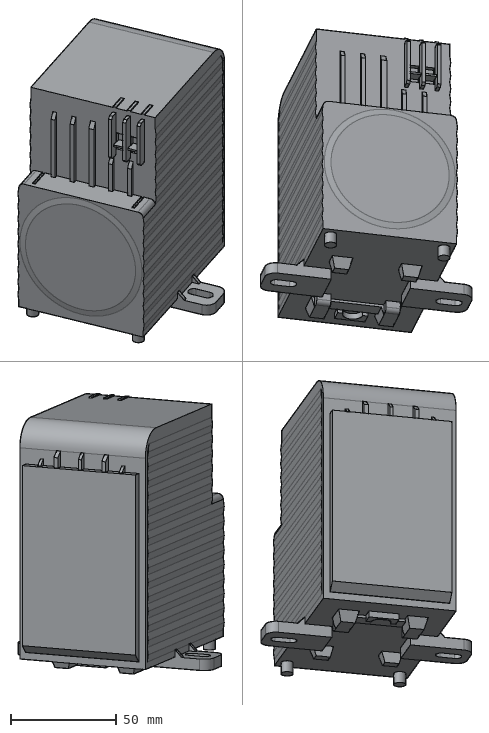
import cadquery as cq
import math

HOUSING_WIDTH = 65.1
HOUSING_BACK = 91.3
HOUSING_BOTTOM = 5.5
HOUSING_TOP = 120.1
STEP_DEPTH = 13.5
STEP_TOP = 74.4
STEP_EDGE_RADIUS = 2.8
BACK_RADIUS = 12.5
MARK_HEIGHT = 0.5

RIDGE_COUNT = 15
RIDGE_PITCH = 7.0
RIDGE_BOTTOM = 8.8
RIDGE_HEIGHT = 0.5
RIDGE_BACK_MARGIN = 2.3
STEP_RIDGES = 9

COVER_RADIUS = 32.0
COVER_TOP_RADIUS = 28.8
COVER_HEIGHT = 0.5
COVER_CENTRE_Z = 41.7

RIB_SPACING = 10.0
RIB_WIDTH = 2.0
MIDDLE_RIB_WIDTH = 2.7
RIB_DEPTH = 1.9
RIB_SLOPE = 3.3
LONG_RIB_TOP = 109.6
SHORT_RIB_TOP = 92.7

FIN_CENTRE_X = 18.7
FIN_SPACING = 7.5
FIN_WIDTH = 1.7
FIN_DEPTH = 5.0
FIN_BOTTOM = 94.2
FIN_TOP = 117.6
FIN_CHAMFER = 1.2
MARK_LENGTH = 9.4
OPENING_WIDTH = 5.3
OPENING_BOTTOM = 97.6
OPENING_TOP = 106.4
OPENING_DEPTH = 2.4
LEDGE_BOTTOM = 100.3
LEDGE_THICKNESS = 1.0
LEDGE_DEPTH = 2.9

GROOVE_X = 25.9
GROOVE_WIDTH = 1.2
GROOVE_FRONT = 2.8
GROOVE_DEPTH = 0.5

PLATE_WIDTH = 58.6
PLATE_THICKNESS = 4.3
PLATE_BOTTOM = 9.0
PLATE_TOP = 100.0
PLATE_BEVEL = 4.0
SLAT_DEPTH = 3.3
SLAT_SLOPE = 2.8
SLAT_FOOT = 96.5
SLATS = [
    (-21.1, 1.6, 103.0),
    (-12.4, 2.0, 107.7),
    (0.0, 1.6, 107.7),
    (12.4, 2.0, 107.7),
    (21.1, 1.6, 103.0),
]

EAR_SPAN = 101.0
EAR_INNER_X = 19.3
EAR_WIDTH = 18.3
EAR_CENTRE_Y = 47.5
EAR_RADIUS = 5.1
EAR_SLOT_X = 40.4
EAR_SLOT_LENGTH = 12.5
EAR_SLOT_WIDTH = 5.3
GUSSET_SIZE = 3.6
GUSSET_THICKNESS = 1.9

FOOT_X = 27.6
FOOT_Y = 5.2
FOOT_RADIUS = 2.9

CLIP_X = 16.9
CLIP_WIDTH = 10.1
CLIP_BOTTOM_WIDTH = 7.0
CLIP_END_SLOPE = 1.9
FRONT_CLIP_FRONT = 25.2
FRONT_CLIP_BACK = 31.6
REAR_CLIP_FRONT = 67.4
REAR_CLIP_BACK = 79.6
REAR_NOSE_LENGTH = 4.5
REAR_NOSE_RADIUS = 2.0
WEB_BOTTOM = 4.2
LATCH_WIDTH = 14.7
LATCH_BOTTOM = 2.5
LATCH_FRONT = 74.7
LATCH_BACK = 80.7
LATCH_NOTCH_RADIUS = 4.8


def box(x_range, y_range, z_range):
    """Box between two limits along each axis."""
    lengths = [high - low for low, high in (x_range, y_range, z_range)]
    corner = (x_range[0], y_range[0], z_range[0])
    return cq.Workplane("XY").box(*lengths, centered=False).translate(corner)


def span(centre, width):
    """Limits of a width around a centre."""
    return (centre - width / 2, centre + width / 2)


def side_profile(margin, step_z):
    """Stepped YZ outline, set in from the back and the top by a margin."""
    back = HOUSING_BACK - margin
    top = HOUSING_TOP - margin
    radius = BACK_RADIUS - margin
    arc_y = back - radius
    arc_z = top - radius
    diagonal = radius * math.sqrt(0.5)
    return (
        cq.Workplane("YZ")
        .moveTo(0, HOUSING_BOTTOM)
        .lineTo(back, HOUSING_BOTTOM)
        .lineTo(back, arc_z)
        .threePointArc((arc_y + diagonal, arc_z + diagonal), (arc_y, top))
        .lineTo(STEP_DEPTH, top)
        .lineTo(STEP_DEPTH, step_z)
        .lineTo(0, step_z)
        .close()
    )


def x_plate(points, x_range):
    """YZ outline given a thickness along X."""
    sketch = cq.Workplane("YZ", origin=(x_range[0], 0, 0)).polyline(points).close()
    return sketch.extrude(x_range[1] - x_range[0])


def housing():
    """Stepped block with a rounded upper back edge and rounded step sides."""
    profile = side_profile(0, STEP_TOP)
    block = profile.extrude(HOUSING_WIDTH / 2, both=True)
    step_face = cq.NearestToPointSelector((0, STEP_DEPTH / 2, STEP_TOP))
    return block.faces(step_face).edges("|Y").fillet(STEP_EDGE_RADIUS)


def side_ridges():
    """Zigzag slab whose peaks stand out of both sides of the housing."""
    half = HOUSING_WIDTH / 2
    step_z = RIDGE_BOTTOM + STEP_RIDGES * RIDGE_PITCH
    right_side = [(half, RIDGE_BOTTOM)]
    for i in range(RIDGE_COUNT):
        valley_z = RIDGE_BOTTOM + i * RIDGE_PITCH
        right_side.append((half + RIDGE_HEIGHT, valley_z + RIDGE_PITCH / 2))
        right_side.append((half, valley_z + RIDGE_PITCH))
    left_side = [(-x, z) for x, z in reversed(right_side)]
    ridges = cq.Workplane("XZ").polyline(right_side + left_side).close().extrude(-HOUSING_BACK)
    limits = side_profile(RIDGE_BACK_MARGIN, step_z)
    return ridges.intersect(limits.extrude(HOUSING_WIDTH, both=True))


def front_cover():
    """Flat disc with a shallow conical rim."""
    base = cq.Vector(0, 0, COVER_CENTRE_Z)
    forward = cq.Vector(0, -1, 0)
    return cq.Workplane(cq.Solid.makeCone(COVER_RADIUS, COVER_TOP_RADIUS, COVER_HEIGHT, base, forward))


def front_rib(x, width, top):
    """Upright rib with a sloped upper end."""
    front = STEP_DEPTH - RIB_DEPTH
    points = [
        (STEP_DEPTH, STEP_TOP),
        (front, STEP_TOP),
        (front, top - RIB_SLOPE),
        (STEP_DEPTH, top),
    ]
    return x_plate(points, span(x, width))


def front_ribs():
    ribs = front_rib(0, MIDDLE_RIB_WIDTH, LONG_RIB_TOP)
    for place, top in [(-2, LONG_RIB_TOP), (-1, LONG_RIB_TOP), (1, SHORT_RIB_TOP), (2, SHORT_RIB_TOP)]:
        ribs = ribs.union(front_rib(place * RIB_SPACING, RIB_WIDTH, top))
    return ribs


def terminal_fins():
    """Ledge across the openings, three chamfered fins and the sloped-end marks above them."""
    front = STEP_DEPTH - FIN_DEPTH
    fins = box(
        span(FIN_CENTRE_X, 2 * FIN_SPACING),
        (STEP_DEPTH - LEDGE_DEPTH, STEP_DEPTH + OPENING_DEPTH),
        (LEDGE_BOTTOM, LEDGE_BOTTOM + LEDGE_THICKNESS),
    )
    for place in (-1, 0, 1):
        x_range = span(FIN_CENTRE_X + place * FIN_SPACING, FIN_WIDTH)
        fin = box(x_range, (front, STEP_DEPTH), (FIN_BOTTOM, FIN_TOP))
        fin = fin.faces("<Y").edges("|X").chamfer(FIN_CHAMFER)
        mark_back = STEP_DEPTH + MARK_LENGTH
        mark_top = HOUSING_TOP + MARK_HEIGHT
        mark_points = [
            (STEP_DEPTH, HOUSING_TOP),
            (STEP_DEPTH, mark_top),
            (mark_back - MARK_HEIGHT, mark_top),
            (mark_back, HOUSING_TOP),
        ]
        fins = fins.union(fin).union(x_plate(mark_points, x_range))
    return fins


def terminal_openings():
    """Cutters for the two openings between the fins."""
    openings = cq.Workplane()
    for side in (-1, 1):
        x_range = span(FIN_CENTRE_X + side * FIN_SPACING / 2, OPENING_WIDTH)
        y_range = (STEP_DEPTH, STEP_DEPTH + OPENING_DEPTH)
        openings = openings.add(box(x_range, y_range, (OPENING_BOTTOM, OPENING_TOP)))
    return openings.combine()


def step_grooves():
    """Cutters for the two shallow grooves on the step."""
    grooves = cq.Workplane()
    for side in (-1, 1):
        x_range = span(side * GROOVE_X, GROOVE_WIDTH)
        grooves = grooves.add(box(x_range, (GROOVE_FRONT, STEP_DEPTH), (STEP_TOP - GROOVE_DEPTH, STEP_TOP)))
    return grooves.combine()


def back_plate():
    """Plate bevelled along its lower edge, with sloped slats rising above it."""
    y_range = (HOUSING_BACK, HOUSING_BACK + PLATE_THICKNESS)
    plate = box(span(0, PLATE_WIDTH), y_range, (PLATE_BOTTOM, PLATE_TOP))
    plate = plate.faces(">Y").edges("<Z").chamfer(PLATE_BEVEL)
    for x, width, top in SLATS:
        outer = HOUSING_BACK + SLAT_DEPTH
        points = [
            (HOUSING_BACK, SLAT_FOOT),
            (outer, SLAT_FOOT),
            (outer, top - SLAT_SLOPE),
            (HOUSING_BACK, top),
        ]
        plate = plate.union(x_plate(points, span(x, width)))
    return plate


def mounting_ear():
    """Slotted ear on the +X side with two gussets against the housing."""
    wall = HOUSING_WIDTH / 2
    y_range = span(EAR_CENTRE_Y, EAR_WIDTH)
    ear = box((EAR_INNER_X, EAR_SPAN / 2), y_range, (0, HOUSING_BOTTOM))
    ear = ear.edges("|Z and >X").fillet(EAR_RADIUS)
    slot = (
        cq.Workplane("XY", origin=(EAR_SLOT_X, EAR_CENTRE_Y, 0))
        .slot2D(EAR_SLOT_LENGTH, EAR_SLOT_WIDTH)
        .extrude(HOUSING_BOTTOM)
    )
    ear = ear.cut(slot)
    for outer_y, direction in ((y_range[0], -1), (y_range[1], 1)):
        gusset = (
            cq.Workplane("XZ", origin=(0, outer_y, 0))
            .moveTo(wall, HOUSING_BOTTOM)
            .lineTo(wall + GUSSET_SIZE, HOUSING_BOTTOM)
            .lineTo(wall, HOUSING_BOTTOM + GUSSET_SIZE)
            .close()
            .extrude(direction * GUSSET_THICKNESS)
        )
        ear = ear.union(gusset)
    return ear


def clip(y_range, bottom_y_range):
    """Clip on the +X side that narrows towards its lower end."""
    top_length = y_range[1] - y_range[0]
    bottom_length = bottom_y_range[1] - bottom_y_range[0]
    bottom_shift = sum(bottom_y_range) / 2 - sum(y_range) / 2
    return (
        cq.Workplane("XY", origin=(CLIP_X, sum(y_range) / 2, HOUSING_BOTTOM))
        .rect(CLIP_WIDTH, top_length)
        .workplane(offset=-HOUSING_BOTTOM)
        .center(0, bottom_shift)
        .rect(CLIP_BOTTOM_WIDTH, bottom_length)
        .loft(ruled=True)
    )


def side_supports():
    """Ear, foot and clips of the +X side."""
    foot = cq.Workplane("XY", origin=(FOOT_X, FOOT_Y, 0)).circle(FOOT_RADIUS).extrude(HOUSING_BOTTOM)
    front_clip = clip(
        (FRONT_CLIP_FRONT, FRONT_CLIP_BACK),
        (FRONT_CLIP_FRONT + CLIP_END_SLOPE, FRONT_CLIP_BACK),
    )
    rear_clip = clip(
        (REAR_CLIP_FRONT, REAR_CLIP_BACK),
        (REAR_CLIP_FRONT, REAR_CLIP_BACK - CLIP_END_SLOPE),
    )
    nose = box(
        span(CLIP_X, CLIP_BOTTOM_WIDTH),
        (REAR_CLIP_FRONT - REAR_NOSE_LENGTH, REAR_CLIP_FRONT),
        (0, HOUSING_BOTTOM),
    )
    nose = nose.faces("<Y").edges("<Z").fillet(REAR_NOSE_RADIUS)
    return mounting_ear().union(foot).union(front_clip).union(rear_clip).union(nose)


def latch():
    """Notched latch and the thin web that joins the rear clips."""
    bar = box(span(0, LATCH_WIDTH), (LATCH_FRONT, LATCH_BACK), (LATCH_BOTTOM, HOUSING_BOTTOM))
    notch = (
        cq.Workplane("XY", origin=(0, LATCH_FRONT, 0))
        .circle(LATCH_NOTCH_RADIUS)
        .extrude(HOUSING_BOTTOM)
    )
    web = box(span(0, 2 * CLIP_X), (REAR_CLIP_FRONT, LATCH_FRONT), (WEB_BOTTOM, HOUSING_BOTTOM))
    return bar.cut(notch).union(web)


supports = side_supports()
result = (
    housing()
    .union(side_ridges())
    .cut(terminal_openings())
    .cut(step_grooves())
    .union(front_cover())
    .union(front_ribs())
    .union(terminal_fins())
    .union(back_plate())
    .union(supports)
    .union(supports.mirror("YZ"))
    .union(latch())
)